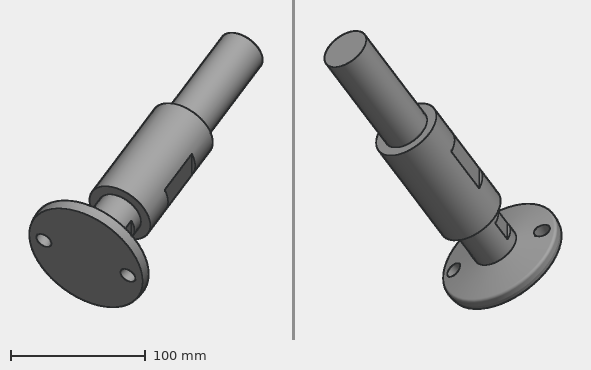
import cadquery as cq
import math

total_length = 237.0
spindle_diameter = 36.0

base_diameter = 98.0
rim_lower_height = 3.8
underside_inset = 0.7
cone_start_height = 15.2
cone_angle = 10.4
rim_fillet = 2.4

hole_diameter = 12.5
hole_offset = 35.8
hole_cut_length = 47.5

spindle_flat_start = 23.7
spindle_flat_end = 41.7
spindle_across_flats = 30.8

sleeve_diameter = 52.0
sleeve_start = 51.7
sleeve_end = 147.0
sleeve_flat_start = 78.7
sleeve_flat_end = 120.0
sleeve_across_flats = 46.2


def cylinder(diameter, start, end):
    """Cylinder on the Y axis between two heights."""
    return cq.Workplane("XZ", origin=(0, start, 0)).circle(diameter / 2).extrude(start - end)


def cut_wrench_flats(body, diameter, across_flats, start, end):
    """Cut a pair of flats facing -X and +X."""
    depth = (diameter - across_flats) / 2
    for side in (-1, 1):
        cutter = cq.Workplane("XY").box(2 * depth, end - start, diameter)
        center_x = side * (across_flats / 2 + depth)
        body = body.cut(cutter.translate((center_x, (start + end) / 2, 0)))
    return body


def make_base():
    """Conical flange with a rounded rim and a slightly tapered lower edge."""
    slope = math.radians(cone_angle)
    base_radius = base_diameter / 2
    spindle_radius = spindle_diameter / 2
    rim_height = cone_start_height - (base_radius - spindle_radius) * math.tan(slope)

    arc_turn = math.pi / 2 - slope
    arc_center_x = base_radius - rim_fillet
    arc_center_y = rim_height - rim_fillet * math.tan(arc_turn / 2)
    arc_middle = (
        arc_center_x + rim_fillet * math.cos(arc_turn / 2),
        arc_center_y + rim_fillet * math.sin(arc_turn / 2),
    )
    arc_end = (
        arc_center_x + rim_fillet * math.cos(arc_turn),
        arc_center_y + rim_fillet * math.sin(arc_turn),
    )
    return (
        cq.Workplane("XY")
        .lineTo(base_radius - underside_inset, 0)
        .lineTo(base_radius, rim_lower_height)
        .lineTo(base_radius, arc_center_y)
        .threePointArc(arc_middle, arc_end)
        .lineTo(spindle_radius, cone_start_height)
        .lineTo(0, cone_start_height)
        .close()
        .revolve(360, (0, 0, 0), (0, 1, 0))
    )


def cut_mounting_holes(body):
    """Drill two holes that lean outward by the cone angle."""
    lean = math.radians(cone_angle)
    for side in (-1, 1):
        direction = cq.Vector(side * math.sin(lean), math.cos(lean), 0)
        start = cq.Vector(side * hole_offset, 0, 0) - direction * (hole_cut_length / 2)
        drill = cq.Solid.makeCylinder(hole_diameter / 2, hole_cut_length, start, direction)
        body = body.cut(drill)
    return body


def make_foot():
    """Base flange in one piece with the spindle that runs through the sleeve."""
    foot = make_base().union(cylinder(spindle_diameter, 0, total_length))
    foot = cut_wrench_flats(
        foot, spindle_diameter, spindle_across_flats, spindle_flat_start, spindle_flat_end
    )
    return cut_mounting_holes(foot)


def make_sleeve():
    """Tube around the spindle, with wrench flats at mid-length."""
    sleeve = cylinder(sleeve_diameter, sleeve_start, sleeve_end)
    sleeve = sleeve.cut(cylinder(spindle_diameter, sleeve_start, sleeve_end))
    return cut_wrench_flats(
        sleeve, sleeve_diameter, sleeve_across_flats, sleeve_flat_start, sleeve_flat_end
    )


foot = make_foot()
sleeve = make_sleeve()
result = cq.Compound.makeCompound([foot.solids().val(), sleeve.solids().val()])